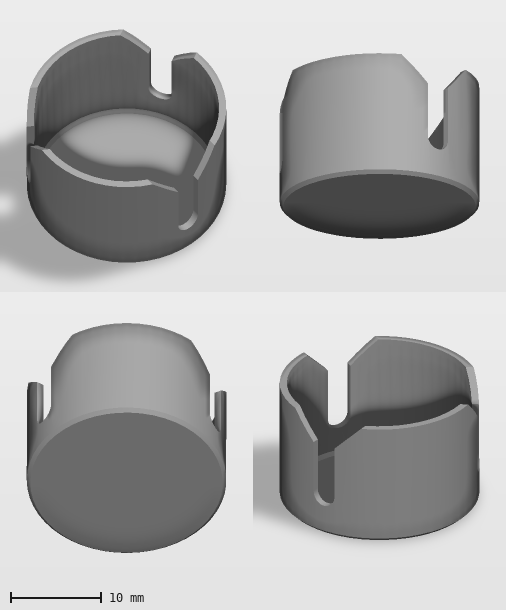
import cadquery as cq

outer_diameter = 22.03
wall_thickness = 0.8
height = 14.0
floor_thickness = 0.4
edge_chamfer = 0.4

slot_count = 3
first_slot_angle = 90.0
slot_width = 2.75
slot_bottom = 3.5
flare_depth = 3.0

outer_radius = outer_diameter / 2
inner_diameter = outer_diameter - 2 * wall_thickness


def make_cup():
    """Round cup with a chamfered base and a chamfer between floor and wall."""
    body = cq.Workplane("XY").circle(outer_radius).extrude(height)
    body = body.faces("<Z").chamfer(edge_chamfer)
    cavity = (
        cq.Workplane("XY")
        .workplane(offset=floor_thickness)
        .circle(inner_diameter / 2)
        .extrude(height - floor_thickness)
        .faces("<Z")
        .chamfer(edge_chamfer)
    )
    return body.cut(cavity)


def make_slot_cutter(angle):
    """Round-bottomed slot with a flared mouth, running from the axis outward."""
    half_width = slot_width / 2
    half_mouth = half_width + flare_depth
    arc_start = slot_bottom + half_width
    flare_start = height - flare_depth
    return (
        cq.Workplane("YZ")
        .moveTo(-half_mouth, height)
        .lineTo(-half_width, flare_start)
        .lineTo(-half_width, arc_start)
        .threePointArc((0, slot_bottom), (half_width, arc_start))
        .lineTo(half_width, flare_start)
        .lineTo(half_mouth, height)
        .close()
        .extrude(outer_diameter)
        .rotate((0, 0, 0), (0, 0, 1), angle)
    )


result = make_cup()
for index in range(slot_count):
    slot_angle = first_slot_angle + index * 360 / slot_count
    result = result.cut(make_slot_cutter(slot_angle))